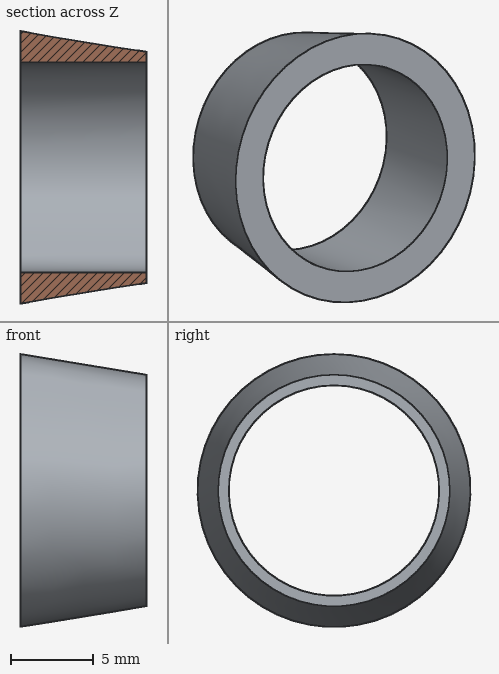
import cadquery as cq

large_diameter = 16.51
small_diameter = 14.0
bore_diameter = 12.7
length = 7.63

large_radius = large_diameter / 2
small_radius = small_diameter / 2
bore_radius = bore_diameter / 2

section = (
    cq.Workplane("XZ")
    .moveTo(0, bore_radius)
    .lineTo(0, large_radius)
    .lineTo(length, small_radius)
    .lineTo(length, bore_radius)
    .close()
)
result = section.revolve(360, (0, 0, 0), (1, 0, 0))